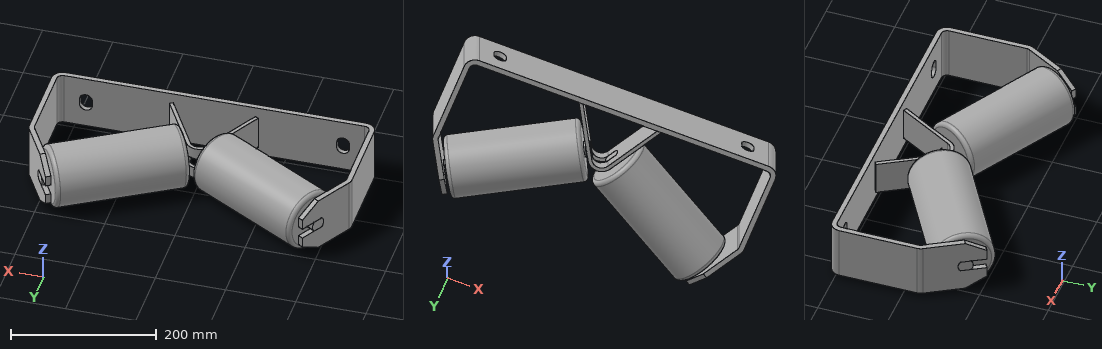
import cadquery as cq
import math

tilt = 30.0
sin_tilt = math.sin(math.radians(tilt))
cos_tilt = math.cos(math.radians(tilt))

roller_diameter = 89.0
roller_length = 190.0
roller_rounding = 6.0
shaft_diameter = 21.0
shaft_flats = 15.0
end_gap = 4.0
shoulder_gap = 2.0

frame_length = 460.0
frame_width = 80.0
frame_thickness = 8.0
frame_bend = 16.0
knee_height = 133.5
flange_length = 94.0
shaft_to_tip = 30.0
tip_chamfer_length = 30.5
tip_chamfer_width = 17.0

mount_spacing = 366.0
mount_slot_height = 25.8
mount_slot_width = 18.0

bracket_width = 50.0
bracket_thickness = 5.5
bracket_bend = 19.5

axis_x, axis_y = cos_tilt, -sin_tilt
rise_x, rise_y = sin_tilt, cos_tilt

knee = (-frame_length / 2, knee_height)
tip = (knee[0] + flange_length * rise_x, knee[1] + flange_length * rise_y)
shaft_start = (tip[0] - shaft_to_tip * rise_x, tip[1] - shaft_to_tip * rise_y)
bracket_distance = frame_thickness + 2 * end_gap + roller_length


def along_axis(point, distance):
    """Move a plan point along the left roller axis."""
    return (point[0] + distance * axis_x, point[1] + distance * axis_y)


def mirrored(points):
    """Left-side plan points followed by their right-side images, in reverse order."""
    return points + [(-x, y) for x, y in reversed(points)]


def prism(points, width):
    """Plan outline extruded evenly about Z = 0."""
    return cq.Workplane("XY").polyline(points).close().extrude(width / 2, both=True)


def round_bend(solid, corners, radius):
    """Round the upright edges that stand on the given plan corners."""
    for x, y in corners:
        solid = solid.edges(cq.selectors.NearestToPointSelector((x, y, 0))).fillet(radius)
    return solid


def axis_plane(distance):
    """Plane square to the left roller axis, local X towards the flange tip and local Y along Z."""
    x, y = along_axis(shaft_start, distance)
    return cq.Workplane(cq.Plane(origin=(x, y, 0), xDir=(rise_x, rise_y, 0), normal=(axis_x, axis_y, 0)))


def shaft_end(distance, length):
    """Flatted end of the left shaft."""
    flats = axis_plane(distance).rect(shaft_diameter, shaft_flats).extrude(length)
    return axis_plane(distance).circle(shaft_diameter / 2).extrude(length).intersect(flats)


def make_left_roller():
    drum_start = frame_thickness + end_gap
    drum = (
        axis_plane(drum_start)
        .circle(roller_diameter / 2)
        .extrude(roller_length)
        .edges()
        .fillet(roller_rounding)
    )
    shaft = (
        axis_plane(frame_thickness + shoulder_gap)
        .circle(shaft_diameter / 2)
        .extrude(roller_length + 2 * (end_gap - shoulder_gap))
    )
    return (
        drum.union(shaft)
        .union(shaft_end(0, frame_thickness + shoulder_gap))
        .union(shaft_end(bracket_distance - shoulder_gap, bracket_thickness + shoulder_gap))
    )


def make_flange_cutter():
    """Open shaft slot and the two tip chamfers of the left flange."""
    slot_bar = (
        axis_plane(0)
        .center(shaft_to_tip / 2, 0)
        .rect(shaft_to_tip, shaft_flats)
        .extrude(frame_thickness)
    )
    cutter = slot_bar.union(shaft_end(0, frame_thickness))
    for side in (-1, 1):
        edge = side * frame_width / 2
        corner = (
            axis_plane(0)
            .moveTo(shaft_to_tip, edge)
            .lineTo(shaft_to_tip - tip_chamfer_length, edge)
            .lineTo(shaft_to_tip, edge - side * tip_chamfer_width)
            .close()
            .extrude(frame_thickness)
        )
        cutter = cutter.union(corner)
    return cutter


def make_frame():
    outer_foot = (-frame_length / 2, 0)
    inner_foot = (outer_foot[0] + frame_thickness, frame_thickness)
    inner_knee = (
        knee[0] + frame_thickness,
        knee[1] - frame_thickness * math.tan(math.radians(tilt / 2)),
    )
    inner_tip = along_axis(tip, frame_thickness)
    outside = mirrored([tip, knee, outer_foot])
    inside = mirrored([inner_tip, inner_knee, inner_foot])
    frame = prism(outside + inside[::-1], frame_width)
    frame = round_bend(frame, mirrored([outer_foot, knee]), frame_bend)
    frame = round_bend(frame, mirrored([inner_foot, inner_knee]), frame_bend - frame_thickness)

    cutter = make_flange_cutter()
    frame = frame.cut(cutter).cut(cutter.mirror("YZ"))

    mount_slots = (
        cq.Workplane("XZ")
        .pushPoints([(-mount_spacing / 2, 0), (mount_spacing / 2, 0)])
        .slot2D(mount_slot_height, mount_slot_width, 90)
        .extrude(-frame_thickness)
    )
    return frame.cut(mount_slots)


def make_bracket():
    shaft_outside = along_axis(shaft_start, bracket_distance)
    shaft_inside = along_axis(shaft_outside, bracket_thickness)
    outer_peak = (0, shaft_outside[1] - shaft_outside[0] * rise_y / rise_x)
    inner_peak = (0, outer_peak[1] - bracket_thickness / sin_tilt)

    inner_foot = ((frame_thickness - inner_peak[1]) * rise_x / rise_y, frame_thickness)
    outer_foot = along_axis(inner_foot, -bracket_thickness)
    inner_feet = mirrored([inner_foot])
    outer_feet = mirrored([outer_foot])
    outline = [outer_feet[0], outer_peak, outer_feet[1], inner_feet[1], inner_peak, inner_feet[0]]
    bracket = prism(outline, bracket_width)
    bracket = round_bend(bracket, [outer_peak], bracket_bend)
    bracket = round_bend(bracket, [inner_peak], bracket_bend - bracket_thickness)

    right_outside, right_inside = mirrored([shaft_inside, shaft_outside])[2:]
    window_outline = [shaft_inside, shaft_outside, outer_peak, right_outside, right_inside]
    window = prism(window_outline, shaft_flats)
    seat = shaft_end(bracket_distance, bracket_thickness)
    return bracket.cut(window).cut(seat).cut(seat.mirror("YZ"))


frame = make_frame().solids()
bracket = make_bracket().solids()
left_roller = make_left_roller().solids()
rollers = [left_roller.val(), left_roller.val().mirror("YZ")]

result = cq.Compound.makeCompound([frame.val(), bracket.val(), *rollers])